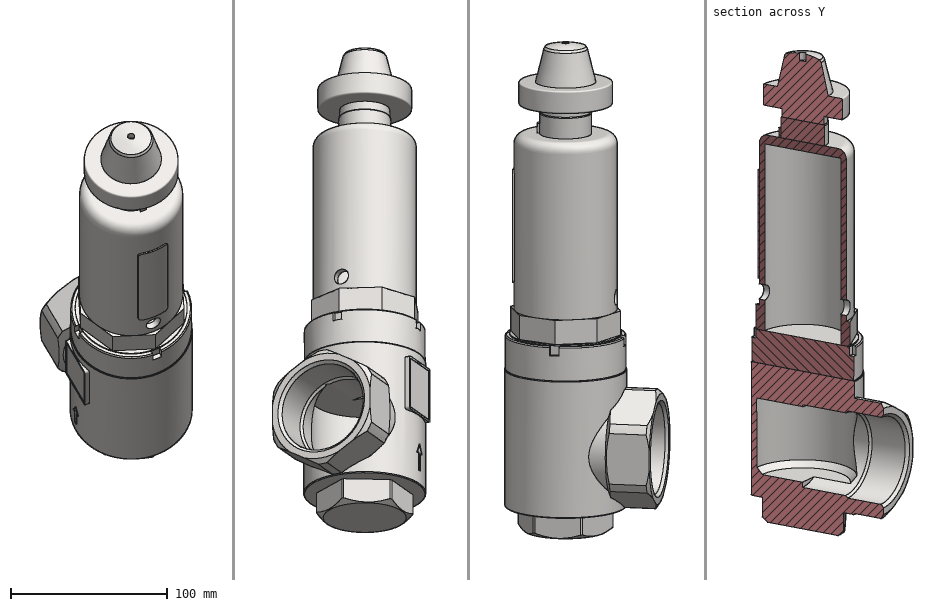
import cadquery as cq
import math


INLET_HEX_TOP = 16.0
HOUSING_TOP = 105.7
RING_TOP = 128.0
CAP_OCTAGON_TOP = 144.5
CAP_TOP = 259.0
SLEEVE_TOP = 273.0
KNOB_BOTTOM = 278.3
KNOB_TOP = 292.8
CONE_TOP = 314.3
BEVEL_TOP = 315.9
OVERALL_HEIGHT = 318.0

HOUSING_RADIUS = 39.0
HOUSING_BEVEL = 0.6
CAVITY_RADIUS = 34.6
CAVITY_FLOOR = 31.5
CAVITY_FLOOR_BEVEL = 4.1
CAVITY_TOP = 81.7
INLET_FLATS = 54.0
INLET_CORNER_RADIUS = 30.8
INLET_FACE_RADIUS = 26.5
INLET_BEVEL_HEIGHT = 3.0

OUTLET_REACH = 61.0
OUTLET_HEIGHT = 55.5
OUTLET_FLATS = 70.0
OUTLET_CORNER_RADIUS = 38.7
OUTLET_FACE_RADIUS = 35.5
OUTLET_FACE_BEVEL = 2.0
OUTLET_HEX_END = 32.0
OUTLET_BACK_BEVEL = 3.0
OUTLET_NECK_RADIUS = 32.7
THREAD_RADIUS = 29.0
THREAD_MOUTH_RADIUS = 31.0
THREAD_DEPTH = 27.0
OUTLET_BORE_RADIUS = 27.5

RAISED_FACE = 39.5
BADGE_ROOT = 30.0
ARROW_ROOT = 38.0
BADGE_WIDTH = 28.8
BADGE_HEIGHT = 36.2
BADGE_CENTRE_HEIGHT = 81.0
BADGE_CORNER_RADIUS = 1.5
BADGE_BORDER = 1.5
BADGE_RECESS = 0.3
ARROW_TIP = 43.5
ARROW_HEAD_BASE = 37.1
ARROW_BOTTOM = 25.6
ARROW_HEAD_WIDTH = 6.4
ARROW_SHAFT_WIDTH = 2.2

RING_RADIUS = 38.6
RING_BEVEL = 0.8
NOTCH_COUNT = 4
NOTCH_WIDTH = 6.0
NOTCH_FLOOR = 122.0
NOTCH_ROOT_RADIUS = 35.5

CAP_RADIUS = 33.0
CAP_FILLET = 6.5
CAP_COLLAR_HEIGHT = 0.8
CAP_WALL = 4.5
CAP_OCTAGON_SIDES = 8
VENT_RADIUS = 5.0
VENT_HEIGHT = 153.4

PLATE_THICKNESS = 1.0
PLATE_WIDTH = 21.0
PLATE_BOTTOM = 162.0
PLATE_TOP = 234.6
PLATE_CORNER_RADIUS = 2.5

SLEEVE_RADIUS = 16.6
SLEEVE_BEVEL = 0.6
STOP_REACH = 18.2
STOP_WIDTH = 4.0
STOP_HEIGHT = 6.3
STEM_RADIUS = 16.0
KNOB_RADIUS = 30.0
KNOB_BEVEL = 1.0
CONE_BASE_RADIUS = 19.3
CONE_TOP_RADIUS = 14.0
DOME_RADIUS = 12.9
CENTRE_HOLE_RADIUS = 2.2
CENTRE_HOLE_DEPTH = 5.0


def across_corners(flats, sides):
    """Diameter through the corners of a regular polygon of given width across flats."""
    return flats / math.cos(math.pi / sides)


def cylinder(radius, bottom, top):
    return cq.Workplane("XY").workplane(offset=bottom).circle(radius).extrude(top - bottom)


def outlet_neck():
    plane = cq.Plane(origin=(0, 0, OUTLET_HEIGHT), xDir=(0, 1, 0), normal=(-1, 0, 0))
    return cq.Workplane(plane).circle(OUTLET_NECK_RADIUS).extrude(OUTLET_HEX_END)


def inlet_hex():
    hexagon = (
        cq.Workplane("XY")
        .polygon(6, across_corners(INLET_FLATS, 6))
        .extrude(INLET_HEX_TOP)
    )
    envelope = (
        cq.Workplane("XZ")
        .moveTo(0, 0)
        .lineTo(INLET_FACE_RADIUS, 0)
        .lineTo(INLET_CORNER_RADIUS, INLET_BEVEL_HEIGHT)
        .lineTo(INLET_CORNER_RADIUS, INLET_HEX_TOP)
        .lineTo(0, INLET_HEX_TOP)
        .close()
        .revolve(360, (0, 0, 0), (0, 1, 0))
    )
    return hexagon.intersect(envelope)


def outlet_hex():
    plane = cq.Plane(origin=(0, 0, OUTLET_HEIGHT), xDir=(0, 0, 1), normal=(-1, 0, 0))
    hexagon = (
        cq.Workplane(plane)
        .polygon(6, across_corners(OUTLET_FLATS, 6))
        .extrude(OUTLET_REACH)
    )
    envelope = (
        cq.Workplane("XZ", origin=(0, 0, OUTLET_HEIGHT))
        .moveTo(-OUTLET_REACH, 0)
        .lineTo(-OUTLET_REACH, OUTLET_FACE_RADIUS)
        .lineTo(-OUTLET_REACH + OUTLET_FACE_BEVEL, OUTLET_CORNER_RADIUS)
        .lineTo(-OUTLET_HEX_END - OUTLET_BACK_BEVEL, OUTLET_CORNER_RADIUS)
        .lineTo(-OUTLET_HEX_END, OUTLET_NECK_RADIUS)
        .lineTo(-OUTLET_HEX_END, 0)
        .close()
        .revolve(360, (0, 0, 0), (1, 0, 0))
    )
    return hexagon.intersect(envelope)


def outlet_bore():
    mouth_depth = THREAD_MOUTH_RADIUS - THREAD_RADIUS
    thread_end = OUTLET_REACH - THREAD_DEPTH
    shoulder_length = THREAD_RADIUS - OUTLET_BORE_RADIUS
    return (
        cq.Workplane("XZ", origin=(0, 0, OUTLET_HEIGHT))
        .moveTo(-OUTLET_REACH, 0)
        .lineTo(-OUTLET_REACH, THREAD_MOUTH_RADIUS)
        .lineTo(-OUTLET_REACH + mouth_depth, THREAD_RADIUS)
        .lineTo(-thread_end, THREAD_RADIUS)
        .lineTo(-thread_end + shoulder_length, OUTLET_BORE_RADIUS)
        .lineTo(0, OUTLET_BORE_RADIUS)
        .lineTo(0, 0)
        .close()
        .revolve(360, (0, 0, 0), (1, 0, 0))
    )


def front_block(outline_width, outline_height, start, end):
    """Upright block over the badge, between two distances in front of the valve axis."""
    return (
        cq.Workplane("XZ", origin=(0, -start, BADGE_CENTRE_HEIGHT))
        .rect(outline_width, outline_height)
        .extrude(end - start)
    )


def badge():
    plate = front_block(BADGE_WIDTH, BADGE_HEIGHT, BADGE_ROOT, RAISED_FACE)
    plate = plate.edges("|Y").fillet(BADGE_CORNER_RADIUS)
    recess = front_block(
        BADGE_WIDTH - 2 * BADGE_BORDER,
        BADGE_HEIGHT - 2 * BADGE_BORDER,
        RAISED_FACE - BADGE_RECESS,
        RAISED_FACE,
    )
    return plate.cut(recess)


def flow_arrow():
    half_head = ARROW_HEAD_WIDTH / 2
    half_shaft = ARROW_SHAFT_WIDTH / 2
    return (
        cq.Workplane("XZ", origin=(0, -ARROW_ROOT, 0))
        .polyline([
            (0, ARROW_TIP),
            (half_head, ARROW_HEAD_BASE),
            (half_shaft, ARROW_HEAD_BASE),
            (half_shaft, ARROW_BOTTOM),
            (-half_shaft, ARROW_BOTTOM),
            (-half_shaft, ARROW_HEAD_BASE),
            (-half_head, ARROW_HEAD_BASE),
        ])
        .close()
        .extrude(RAISED_FACE - ARROW_ROOT)
    )


def make_housing():
    barrel = cylinder(HOUSING_RADIUS, INLET_HEX_TOP, HOUSING_TOP).edges().chamfer(HOUSING_BEVEL)
    cavity = cylinder(CAVITY_RADIUS, CAVITY_FLOOR, CAVITY_TOP)
    cavity = cavity.faces("<Z").chamfer(CAVITY_FLOOR_BEVEL)
    return (
        barrel
        .union(inlet_hex())
        .union(outlet_neck())
        .union(outlet_hex())
        .union(badge())
        .union(flow_arrow())
        .cut(cavity)
        .cut(outlet_bore())
    )


def make_bonnet_ring():
    ring = cylinder(RING_RADIUS, HOUSING_TOP, RING_TOP).faces(">Z").chamfer(RING_BEVEL)
    notch_depth = RING_RADIUS - NOTCH_ROOT_RADIUS
    for index in range(NOTCH_COUNT):
        notch = (
            cq.Workplane("XY", origin=(0, 0, NOTCH_FLOOR))
            .center(RING_RADIUS, 0)
            .rect(2 * notch_depth, NOTCH_WIDTH)
            .extrude(RING_TOP - NOTCH_FLOOR)
            .rotate((0, 0, 0), (0, 0, 1), index * 360 / NOTCH_COUNT)
        )
        ring = ring.cut(notch)
    return ring


def make_cap():
    shell = cylinder(CAP_RADIUS, RING_TOP, CAP_TOP).faces(">Z").edges().fillet(CAP_FILLET)
    octagon_corners = across_corners(2 * CAP_RADIUS, CAP_OCTAGON_SIDES)
    octagon = (
        cq.Workplane("XY", origin=(0, 0, RING_TOP))
        .polygon(CAP_OCTAGON_SIDES, octagon_corners)
        .extrude(CAP_OCTAGON_TOP - RING_TOP)
    )
    spring_space = cylinder(CAP_RADIUS - CAP_WALL, RING_TOP, CAP_TOP - CAP_FILLET)
    vent = (
        cq.Workplane("YZ", origin=(-CAP_RADIUS, 0, VENT_HEIGHT))
        .circle(VENT_RADIUS)
        .extrude(2 * CAP_RADIUS)
    )
    collar = cylinder(octagon_corners / 2, RING_TOP, RING_TOP + CAP_COLLAR_HEIGHT)
    return shell.union(octagon).union(collar).cut(spring_space).cut(vent)


def make_name_plate():
    """Thin curved plate hugging the cap, with rounded corners."""
    outer_radius = CAP_RADIUS + PLATE_THICKNESS
    tube = cylinder(outer_radius, PLATE_BOTTOM, PLATE_TOP)
    tube = tube.cut(cylinder(CAP_RADIUS, PLATE_BOTTOM, PLATE_TOP))
    outline = (
        cq.Workplane("YZ", origin=(0, 0, (PLATE_BOTTOM + PLATE_TOP) / 2))
        .rect(PLATE_WIDTH, PLATE_TOP - PLATE_BOTTOM)
        .extrude(outer_radius)
        .edges("|X")
        .fillet(PLATE_CORNER_RADIUS)
    )
    return tube.intersect(outline)


def make_sleeve():
    return cylinder(SLEEVE_RADIUS, CAP_TOP, SLEEVE_TOP).faces(">Z").chamfer(SLEEVE_BEVEL)


def make_stop_block():
    block = (
        cq.Workplane("XY", origin=(STOP_REACH / 2, 0, CAP_TOP))
        .rect(STOP_REACH, STOP_WIDTH)
        .extrude(STOP_HEIGHT)
    )
    return block.cut(cylinder(SLEEVE_RADIUS, CAP_TOP, SLEEVE_TOP))


def make_knob():
    stem = cylinder(STEM_RADIUS, SLEEVE_TOP, KNOB_BOTTOM)
    disc = cylinder(KNOB_RADIUS, KNOB_BOTTOM, KNOB_TOP).edges().fillet(KNOB_BEVEL)
    dome_middle_radius = (DOME_RADIUS + CENTRE_HOLE_RADIUS) / 2
    dome_drop = (OVERALL_HEIGHT - BEVEL_TOP) / (DOME_RADIUS ** 2 - CENTRE_HOLE_RADIUS ** 2)
    dome_middle_height = OVERALL_HEIGHT - dome_drop * (dome_middle_radius ** 2 - CENTRE_HOLE_RADIUS ** 2)
    grip = (
        cq.Workplane("XZ")
        .moveTo(0, KNOB_TOP)
        .lineTo(CONE_BASE_RADIUS, KNOB_TOP)
        .lineTo(CONE_TOP_RADIUS, CONE_TOP)
        .lineTo(DOME_RADIUS, BEVEL_TOP)
        .threePointArc((dome_middle_radius, dome_middle_height), (CENTRE_HOLE_RADIUS, OVERALL_HEIGHT))
        .lineTo(0, OVERALL_HEIGHT)
        .close()
        .revolve(360, (0, 0, 0), (0, 1, 0))
    )
    centre_hole = cylinder(CENTRE_HOLE_RADIUS, OVERALL_HEIGHT - CENTRE_HOLE_DEPTH, OVERALL_HEIGHT)
    return stem.union(disc).union(grip).cut(centre_hole)


housing = make_housing()
bonnet_ring = make_bonnet_ring()
cap = make_cap()
name_plate = make_name_plate()
sleeve = make_sleeve()
stop_block = make_stop_block()
knob = make_knob()

result = cq.Compound.makeCompound([
    housing.val(),
    bonnet_ring.val(),
    cap.val(),
    name_plate.val(),
    sleeve.val(),
    stop_block.val(),
    knob.val(),
])